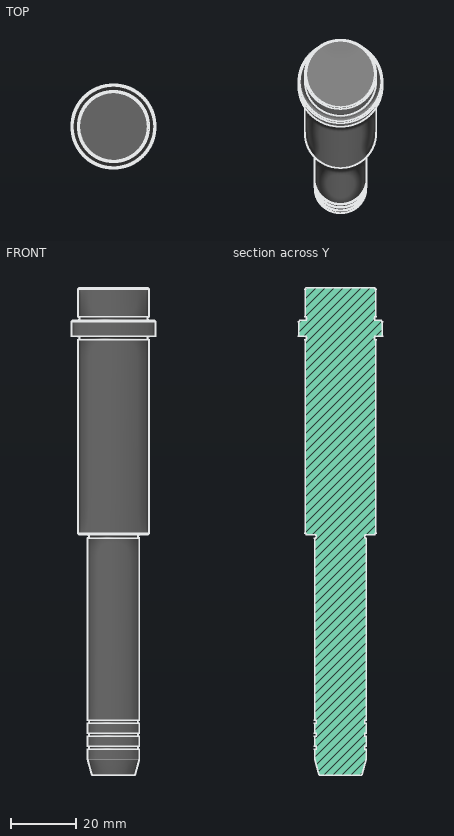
import cadquery as cq
import math

total_length = 150.0
head_radius = 11.0
flange_radius = 13.0
shaft_radius = 8.0

head_length = 10.0
flange_length = 5.0
body_length = 61.0
nose_length = 5.0

edge_chamfer = 0.5
groove_radius = 0.5

groove_count = 3
groove_pitch = 4.0
lowest_groove_z = 8.5

nose_taper_angle = 15.0
nose_tip_fillet = 0.5

flange_top_z = total_length - head_length
flange_bottom_z = flange_top_z - flange_length
body_bottom_z = flange_bottom_z - body_length
nose_tip_radius = shaft_radius - nose_length * math.tan(math.radians(nose_taper_angle))


def cylinder(radius, bottom_z, top_z):
    """Solid cylinder on the Z axis between two heights."""
    return cq.Workplane("XY").workplane(offset=bottom_z).circle(radius).extrude(top_z - bottom_z)


def round_groove_cutter(surface_radius, center_z):
    """Torus whose inner half cuts a semicircular groove into a cylinder."""
    profile = cq.Workplane("XZ").center(surface_radius, center_z).circle(groove_radius)
    return profile.revolve(360, (-surface_radius, 0), (-surface_radius, 1))


def make_head():
    """Upper land with a chamfered rim and a round relief directly above the flange."""
    head = cylinder(head_radius, flange_top_z, total_length).faces(">Z").edges().chamfer(edge_chamfer)
    return head.cut(round_groove_cutter(head_radius, flange_top_z + groove_radius))


def make_flange():
    """Locating collar with a chamfered upper rim."""
    return cylinder(flange_radius, flange_bottom_z, flange_top_z).faces(">Z").edges().chamfer(edge_chamfer)


def make_body():
    """Main fitting diameter, relieved under the flange and chamfered at its lower end."""
    body = cylinder(head_radius, body_bottom_z, flange_bottom_z).faces("<Z").edges().chamfer(edge_chamfer)
    return body.cut(round_groove_cutter(head_radius, flange_bottom_z - groove_radius))


def make_shaft():
    """Lower shaft with a round relief under the body and evenly spaced ring grooves."""
    shaft = cylinder(shaft_radius, nose_length, body_bottom_z)
    shaft = shaft.cut(round_groove_cutter(shaft_radius, body_bottom_z - groove_radius))
    for index in range(groove_count):
        groove_center_z = lowest_groove_z + index * groove_pitch
        shaft = shaft.cut(round_groove_cutter(shaft_radius, groove_center_z))
    return shaft


def make_nose():
    """Lead-in cone with a rounded tip edge."""
    cone = cq.Workplane("XY").circle(nose_tip_radius).workplane(offset=nose_length).circle(shaft_radius).loft()
    return cone.faces("<Z").edges().fillet(nose_tip_fillet)


result = make_nose().union(make_shaft()).union(make_body()).union(make_flange()).union(make_head())